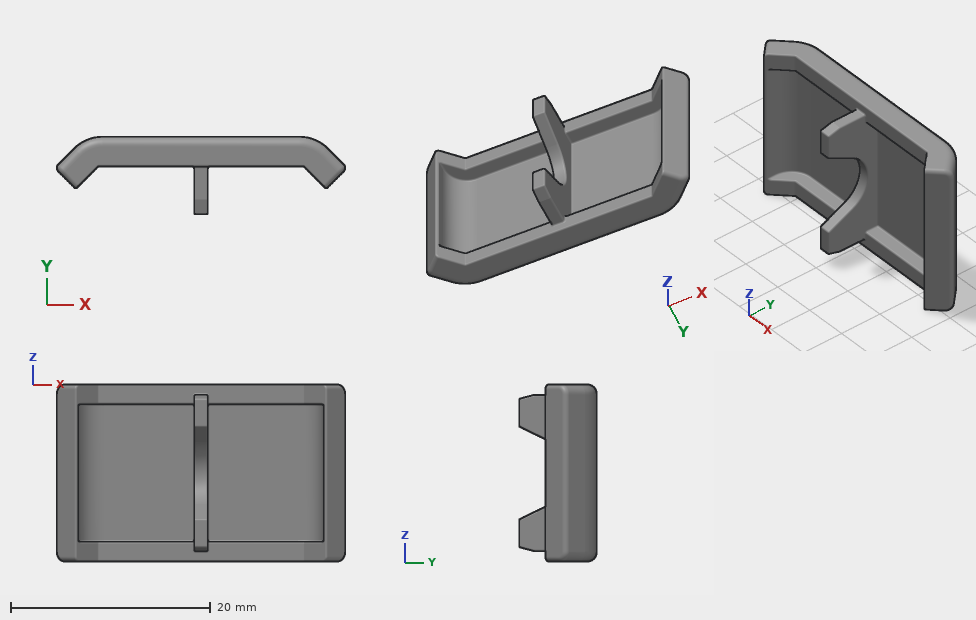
import cadquery as cq
import math


height = 17.8
thickness = 3.0
bend_start = 9.89
bend_radius = 4.0
bend_angle = math.radians(45)
arm_length = 4.435
crease_fillet = 0.2

back_fillet = 1.0
arm_end_fillet = 0.5
front_fillet = 0.2

floor_thickness = 1.4
pocket_height = 13.8
pocket_half_length = 12.31
pocket_end_radius = 2.57
pocket_fillet = 0.2

rib_width = 1.4
rib_height = 15.7
rib_depth = 7.8
rib_taper_depth = 6.3
rib_taper_angle = math.radians(15)
gap_radius = 3.45
gap_flare_angle = math.radians(26)
gap_tip_half_height = 4.65
rib_edge_fillet = 0.2
rib_root_fillet = 0.2
seam_margin = 0.01

corner_offset = math.tan(bend_angle / 2)
outer_corner_x = bend_start + bend_radius * corner_offset
inner_corner_x = outer_corner_x - thickness * corner_offset
arm_end_outer = (
    outer_corner_x + arm_length * math.cos(bend_angle),
    -arm_length * math.sin(bend_angle),
)
arm_end_inner = (
    arm_end_outer[0] - thickness * math.sin(bend_angle),
    arm_end_outer[1] - thickness * math.cos(bend_angle),
)


def extrude_both_ways(outline, width):
    """Extrude an outline to a total width, half to each side of its plane."""
    return outline.extrude(width / 2, both=True)


def edges_at(body, points):
    """Edges of the body lying closest to the given points."""
    picked = cq.Workplane("XY").newObject([body.val()])
    edges = [picked.edges(cq.NearestToPointSelector(point)).val() for point in points]
    return body.newObject(edges)


def make_plate():
    """Bent plate with rounded back, ends and front edges."""

    def mirrored(point):
        return (-point[0], point[1])

    bend_middle = (
        bend_start + bend_radius * math.sin(bend_angle / 2),
        -bend_radius * (1 - math.cos(bend_angle / 2)),
    )
    bend_end = (
        bend_start + bend_radius * math.sin(bend_angle),
        -bend_radius * (1 - math.cos(bend_angle)),
    )
    outline = (
        cq.Workplane("XY")
        .moveTo(-bend_start, 0)
        .lineTo(bend_start, 0)
        .threePointArc(bend_middle, bend_end)
        .lineTo(*arm_end_outer)
        .lineTo(*arm_end_inner)
        .lineTo(inner_corner_x, -thickness)
        .lineTo(-inner_corner_x, -thickness)
        .lineTo(*mirrored(arm_end_inner))
        .lineTo(*mirrored(arm_end_outer))
        .lineTo(*mirrored(bend_end))
        .threePointArc(mirrored(bend_middle), (-bend_start, 0))
        .close()
    )
    plate = extrude_both_ways(outline, height)

    creases = [(side * inner_corner_x, -thickness, 0) for side in (-1, 1)]
    plate = edges_at(plate, creases).fillet(crease_fillet)
    back_edges = [(0, 0, side * height / 2) for side in (-1, 1)]
    plate = edges_at(plate, back_edges).fillet(back_fillet)

    for side in (-1, 1):
        end_direction = (side * math.cos(bend_angle), -math.sin(bend_angle), 0)
        end_face = plate.faces(cq.DirectionMinMaxSelector(cq.Vector(*end_direction), True))
        inner_edge = cq.NearestToPointSelector((side * arm_end_inner[0], arm_end_inner[1], 0))
        outer_edges = end_face.edges(cq.selectors.InverseSelector(inner_edge))
        plate = outer_edges.fillet(arm_end_fillet)

    front_face = plate.faces(cq.NearestToPointSelector((0, -thickness, 0)))
    return front_face.edges("|X").fillet(front_fillet)


def make_pocket():
    """Pocket cutter: flat floor, a quarter round at each end and walls straight out to the front."""
    floor_half = pocket_half_length - pocket_end_radius
    wall_start = -floor_thickness - pocket_end_radius
    open_y = -rib_depth
    outline = (
        cq.Workplane("XY")
        .moveTo(-floor_half, -floor_thickness)
        .lineTo(floor_half, -floor_thickness)
        .tangentArcPoint((pocket_half_length, wall_start), relative=False)
        .lineTo(pocket_half_length, open_y)
        .lineTo(-pocket_half_length, open_y)
        .lineTo(-pocket_half_length, wall_start)
        .tangentArcPoint((-floor_half, -floor_thickness), relative=False)
        .close()
    )
    cutter = extrude_both_ways(outline, pocket_height)
    floor_sides = [(0, -floor_thickness, side * pocket_height / 2) for side in (-1, 1)]
    return edges_at(cutter, floor_sides).fillet(pocket_fillet)


def make_rib():
    """Rib with tapered outer edges and a flared, round-bottomed gap between its prongs."""
    root_y = -floor_thickness / 2
    half = rib_height / 2
    tip_half = half - (rib_depth - rib_taper_depth) * math.tan(rib_taper_angle)

    tangent_z = gap_radius * math.cos(gap_flare_angle)
    tangent_depth = rib_depth - (gap_tip_half_height - tangent_z) / math.tan(gap_flare_angle)
    gap_bottom_depth = tangent_depth - gap_radius * (1 - math.sin(gap_flare_angle))

    outline = (
        cq.Workplane("YZ")
        .moveTo(root_y, -half)
        .lineTo(-rib_taper_depth, -half)
        .lineTo(-rib_depth, -tip_half)
        .lineTo(-rib_depth, -gap_tip_half_height)
        .lineTo(-tangent_depth, -tangent_z)
        .threePointArc((-gap_bottom_depth, 0), (-tangent_depth, tangent_z))
        .lineTo(-rib_depth, gap_tip_half_height)
        .lineTo(-rib_depth, tip_half)
        .lineTo(-rib_taper_depth, half)
        .lineTo(root_y, half)
        .close()
    )
    rib = extrude_both_ways(outline, rib_width)
    prong_tips = rib.faces("<Y").edges("|X")
    rib = prong_tips.fillet(rib_edge_fillet)
    root_face = cq.NearestToPointSelector((0, root_y, 0))
    root_edges = rib.faces(root_face).edges().vals()
    side_edges = [edge for edge in rib.faces("<X or >X").edges().vals() if edge not in root_edges]
    return rib.newObject(side_edges).fillet(rib_edge_fillet)


def fillet_pocket_mouth(plate):
    """Round the long edges where the pocket walls meet the front."""
    mouth_edges = [(0, -thickness, side * pocket_height / 2) for side in (-1, 1)]
    return edges_at(plate, mouth_edges).fillet(pocket_fillet)


def fillet_rib_root(body):
    """Round the seam where the rib meets the pocket and the front face around it."""
    seam_box = cq.selectors.BoxSelector(
        (-rib_width / 2 - seam_margin, -thickness - seam_margin, -rib_height / 2 - seam_margin),
        (rib_width / 2 + seam_margin, -floor_thickness + seam_margin, rib_height / 2 + seam_margin),
    )
    return body.edges(seam_box).fillet(rib_root_fillet)


plate = fillet_pocket_mouth(make_plate().cut(make_pocket()))
result = fillet_rib_root(plate.union(make_rib()))